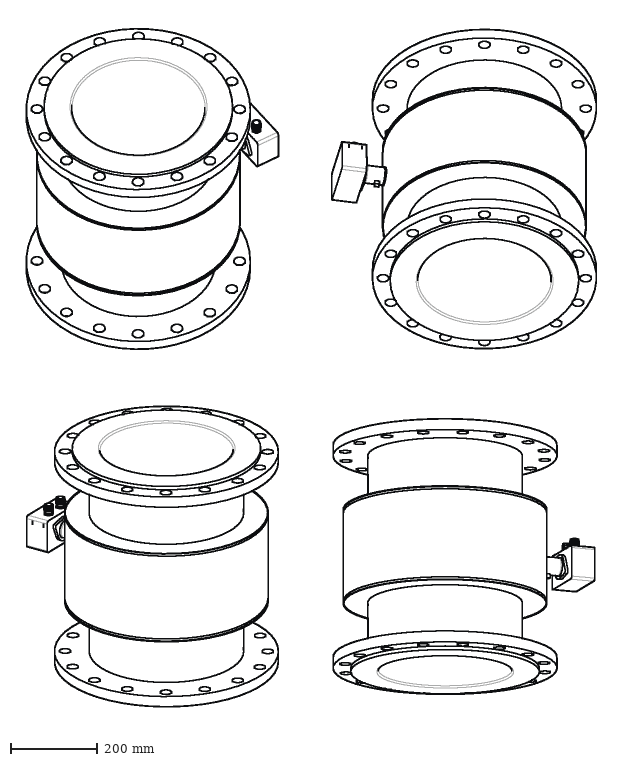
import cadquery as cq
import math

LENGTH = 550.0
BORE_DIAMETER = 309.5
BORE_ROUNDING = 4.0
PIPE_DIAMETER = 359.0
FLANGE_DIAMETER = 520.0
FLANGE_THICKNESS = 26.0
RAISED_FACE_DIAMETER = 438.0
RAISED_FACE_HEIGHT = 8.5
BOLT_COUNT = 16
BOLT_CIRCLE_DIAMETER = 470.0
BOLT_HOLE_DIAMETER = 26.0

DRUM_DIAMETER = 473.0
DRUM_HEIGHT = 223.5
DRUM_INNER_DIAMETER = 470.0
END_PLATE_THICKNESS = 5.5
RECESS_DEPTH = 1.0

BOX_WIDTH = 126.0
BOX_DEPTH = 58.0
BOX_HEIGHT = 80.5
BOX_TOP_Z = 39.5
BOX_ROUNDING = 6.0
OVERALL_DEPTH = 609.0
BOX_BACK_Y = OVERALL_DEPTH - FLANGE_DIAMETER / 2
BOX_FRONT_Y = BOX_BACK_Y - BOX_DEPTH
SLIT_WIDTH = 1.0
SLIT_HEIGHT = 7.5
SLIT_DEPTH = 0.5
SLIT_SPACING = 31.0
SLIT_Y = 317.0
SLIT_Z = 26.0

NECK_DIAMETER = 42.0
NECK_BASE_DIAMETER = 43.0
NECK_BASE_LENGTH = 3.5
COLLAR_DIAMETER = 45.0
COLLAR_END_Y = 239.5
COLLAR_LENGTH = 3.5
PAD_THICKNESS = 7.0
PAD_FRONT_Y = BOX_FRONT_Y - PAD_THICKNESS
PAD_HUB_RADIUS = 28.5
PAD_EAR_DISTANCE = 37.0
PAD_EAR_RADIUS = 5.5
PAD_TILT = 27.0

STUD_WIDTH = 11.0
STUD_END_Z = -29.0
STUD_Y = 254.5

GLAND_SPACING = 49.0
GLAND_Y = 313.0
GLAND_HEX_FLATS = 20.0
GLAND_HEX_HEIGHT = 3.5
GLAND_HEX_TURN = 30.0
GLAND_WAIST_DIAMETER = 17.5
GLAND_BODY_DIAMETER = 20.0
GLAND_RING_DIAMETER = 22.0
GLAND_RING_HEIGHT = 2.0
GLAND_RING_BASES = (10.5, 16.5)
GLAND_BODY_BASE = 10.0
GLAND_HEIGHT = 24.0
GLAND_TIP_CHAMFER_WIDTH = 2.5
GLAND_TIP_CHAMFER_HEIGHT = 1.0


def disc(diameter, bottom, top):
    """Solid cylinder about the Z axis between two heights."""
    return cq.Workplane("XY").workplane(offset=bottom).circle(diameter / 2).extrude(top - bottom)


def make_drum():
    """Hollow sheet drum closed by two end plates set slightly below its rims."""
    rim_end = DRUM_HEIGHT / 2
    plate_outside = rim_end - RECESS_DEPTH
    plate_inside = plate_outside - END_PLATE_THICKNESS
    drum = disc(DRUM_DIAMETER, -rim_end, rim_end)
    drum = drum.cut(disc(DRUM_INNER_DIAMETER, plate_outside, rim_end))
    drum = drum.cut(disc(DRUM_INNER_DIAMETER, -rim_end, -plate_outside))
    return drum.cut(disc(DRUM_INNER_DIAMETER, -plate_inside, plate_inside))


def make_pipe():
    """Flanged pipe with the drum around it, before the bore is cut."""
    half = LENGTH / 2
    flange_outer = half - RAISED_FACE_HEIGHT
    flange_inner = flange_outer - FLANGE_THICKNESS
    pipe = disc(RAISED_FACE_DIAMETER, flange_outer, half)
    pipe = pipe.union(disc(RAISED_FACE_DIAMETER, -half, -flange_outer))
    pipe = pipe.union(make_drum())
    pipe = pipe.union(disc(PIPE_DIAMETER, -flange_outer, flange_outer))
    for bottom in (flange_inner, -flange_outer):
        pipe = pipe.union(disc(FLANGE_DIAMETER, bottom, bottom + FLANGE_THICKNESS))
    return pipe


def cut_bolt_holes(pipe):
    """Bolt holes through both flanges, straddling the X and Y axes."""
    holes = (
        cq.Workplane("XY")
        .polarArray(BOLT_CIRCLE_DIAMETER / 2, 180 / BOLT_COUNT, 360, BOLT_COUNT)
        .circle(BOLT_HOLE_DIAMETER / 2)
        .extrude(RAISED_FACE_HEIGHT + FLANGE_THICKNESS)
    )
    pipe = pipe.cut(holes.translate((0, 0, -LENGTH / 2)))
    return pipe.cut(holes.translate((0, 0, LENGTH / 2 - RAISED_FACE_HEIGHT - FLANGE_THICKNESS)))


def make_pad():
    """Diamond plate: a round hub joined by tangent flats to two small ears."""
    normal = math.acos((PAD_HUB_RADIUS - PAD_EAR_RADIUS) / PAD_EAR_DISTANCE)
    hub_x = PAD_HUB_RADIUS * math.cos(normal)
    hub_z = PAD_HUB_RADIUS * math.sin(normal)
    ear_x = PAD_EAR_DISTANCE + PAD_EAR_RADIUS * math.cos(normal)
    ear_z = PAD_EAR_RADIUS * math.sin(normal)
    tip_x = PAD_EAR_DISTANCE + PAD_EAR_RADIUS
    pad = (
        cq.Workplane("XZ", origin=(0, BOX_FRONT_Y, 0))
        .moveTo(hub_x, hub_z)
        .threePointArc((0, PAD_HUB_RADIUS), (-hub_x, hub_z))
        .lineTo(-ear_x, ear_z)
        .threePointArc((-tip_x, 0), (-ear_x, -ear_z))
        .lineTo(-hub_x, -hub_z)
        .threePointArc((0, -PAD_HUB_RADIUS), (hub_x, -hub_z))
        .lineTo(ear_x, -ear_z)
        .threePointArc((tip_x, 0), (ear_x, ear_z))
        .close()
        .extrude(PAD_THICKNESS)
    )
    return pad.rotate((0, 0, 0), (0, 1, 0), PAD_TILT)


def make_neck():
    """Neck turned about Y, flared at the pad and collared at the drum, with a stud below."""
    neck_radius = NECK_DIAMETER / 2
    inside_wall_y = DRUM_INNER_DIAMETER / 2
    neck = (
        cq.Workplane("XY")
        .moveTo(0, PAD_FRONT_Y)
        .lineTo(NECK_BASE_DIAMETER / 2, PAD_FRONT_Y)
        .lineTo(neck_radius, PAD_FRONT_Y - NECK_BASE_LENGTH)
        .lineTo(neck_radius, COLLAR_END_Y)
        .lineTo(COLLAR_DIAMETER / 2, COLLAR_END_Y)
        .lineTo(neck_radius, COLLAR_END_Y - COLLAR_LENGTH)
        .lineTo(neck_radius, inside_wall_y)
        .lineTo(0, inside_wall_y)
        .close()
        .revolve(360, (0, 0, 0), (0, 1, 0))
    )
    stud = (
        cq.Workplane("XY", origin=(0, STUD_Y, STUD_END_Z))
        .rect(STUD_WIDTH, STUD_WIDTH)
        .extrude(-STUD_END_Z)
    )
    return neck.union(stud)


def make_meter():
    """Flow meter body with neck and pad, bored through and rounded at both bore ends."""
    meter = cut_bolt_holes(make_pipe()).union(make_neck()).union(make_pad())
    meter = meter.cut(disc(BORE_DIAMETER, -LENGTH / 2, LENGTH / 2))
    bore_ends = cq.selectors.RadiusNthSelector(0)
    meter = meter.faces(">Z").edges(bore_ends).fillet(BORE_ROUNDING)
    return meter.faces("<Z").edges(bore_ends).fillet(BORE_ROUNDING)


def make_box():
    """Terminal box, rounded along Y, with two slits in its -X side."""
    box = (
        cq.Workplane("XY", origin=(0, BOX_FRONT_Y + BOX_DEPTH / 2, BOX_TOP_Z - BOX_HEIGHT / 2))
        .box(BOX_WIDTH, BOX_DEPTH, BOX_HEIGHT)
        .edges("|Y")
        .fillet(BOX_ROUNDING)
    )
    slits = (
        cq.Workplane("YZ", origin=(-BOX_WIDTH / 2, SLIT_Y, SLIT_Z))
        .pushPoints([(-SLIT_SPACING / 2, 0), (SLIT_SPACING / 2, 0)])
        .rect(SLIT_WIDTH, SLIT_HEIGHT)
        .extrude(SLIT_DEPTH)
    )
    return box.cut(slits)


def make_gland(x):
    """Cable gland: hexagon, waist and a ribbed body with a chamfered tip."""
    corners = 2 * GLAND_HEX_FLATS / math.sqrt(3)
    gland = cq.Workplane("XY").polygon(6, corners).extrude(GLAND_HEX_HEIGHT)
    gland = gland.rotate((0, 0, 0), (0, 0, 1), GLAND_HEX_TURN)
    gland = gland.union(disc(GLAND_WAIST_DIAMETER, 0, GLAND_BODY_BASE))
    body = disc(GLAND_BODY_DIAMETER, GLAND_BODY_BASE, GLAND_HEIGHT)
    gland = gland.union(body.faces(">Z").chamfer(GLAND_TIP_CHAMFER_HEIGHT, GLAND_TIP_CHAMFER_WIDTH))
    for base in GLAND_RING_BASES:
        gland = gland.union(disc(GLAND_RING_DIAMETER, base, base + GLAND_RING_HEIGHT))
    return gland.translate((x, GLAND_Y, BOX_TOP_Z))


meter = make_meter()
terminal_box = make_box()
glands = [make_gland(side * GLAND_SPACING / 2) for side in (-1, 1)]

result = cq.Compound.makeCompound(
    [meter.val(), terminal_box.val(), *[gland.val() for gland in glands]]
)